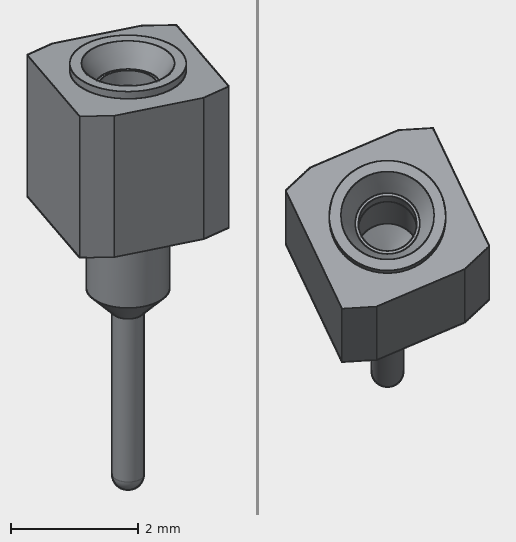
import cadquery as cq
import math

housing_side = 2.54
corner_cut_x = 0.19
corner_cut_y = 0.51

total_height = 7.62
rim_diameter = 1.83
rim_height = 0.13
collar_diameter = 1.32
collar_length = 1.36
taper_height = 0.42
pin_diameter = 0.51

mouth_diameter = 1.46
bore_diameter = 1.01
lip_diameter = 0.915
lip_height = 0.27
mouth_depth = 0.38
bore_depth = 1.83
drill_point_angle = 118.0

housing_top = total_height - rim_height
housing_bottom = housing_top - housing_side
taper_top = housing_bottom - collar_length
taper_bottom = taper_top - taper_height


def make_housing():
    half = housing_side / 2
    flat_x = half - corner_cut_x
    flat_y = half - corner_cut_y
    outline = [
        (flat_x, half), (half, flat_y), (half, -flat_y), (flat_x, -half),
        (-flat_x, -half), (-half, -flat_y), (-half, flat_y), (-flat_x, half),
    ]
    return (
        cq.Workplane("XY").workplane(offset=housing_bottom)
        .polyline(outline).close().extrude(housing_side)
    )


def make_contact():
    """Revolve the rim, collar, taper and round-ended pin about Z."""
    pin_radius = pin_diameter / 2
    collar_radius = collar_diameter / 2
    rim_radius = rim_diameter / 2
    arc_offset = pin_radius * math.sqrt(0.5)
    return (
        cq.Workplane("XZ")
        .moveTo(0, 0)
        .threePointArc((arc_offset, pin_radius - arc_offset), (pin_radius, pin_radius))
        .lineTo(pin_radius, taper_bottom)
        .lineTo(collar_radius, taper_top)
        .lineTo(collar_radius, housing_top)
        .lineTo(rim_radius, housing_top)
        .lineTo(rim_radius, total_height)
        .lineTo(0, total_height)
        .close()
        .revolve(360, (0, 0, 0), (0, 1, 0))
    )


def make_socket():
    """Revolve the funnel mouth and drilled bore, leaving a narrow lip between them, about Z."""
    lip_radius = lip_diameter / 2
    bore_radius = bore_diameter / 2
    point_depth = bore_radius / math.tan(math.radians(drill_point_angle / 2))
    bore_floor = total_height - bore_depth
    lip_top = total_height - mouth_depth
    lip_bottom = lip_top - lip_height
    return (
        cq.Workplane("XZ")
        .moveTo(0, total_height)
        .lineTo(mouth_diameter / 2, total_height)
        .lineTo(bore_radius, lip_top)
        .lineTo(lip_radius, lip_top)
        .lineTo(lip_radius, lip_bottom)
        .lineTo(bore_radius, lip_bottom)
        .lineTo(bore_radius, bore_floor)
        .lineTo(0, bore_floor - point_depth)
        .close()
        .revolve(360, (0, 0, 0), (0, 1, 0))
    )


result = make_housing().union(make_contact()).cut(make_socket())